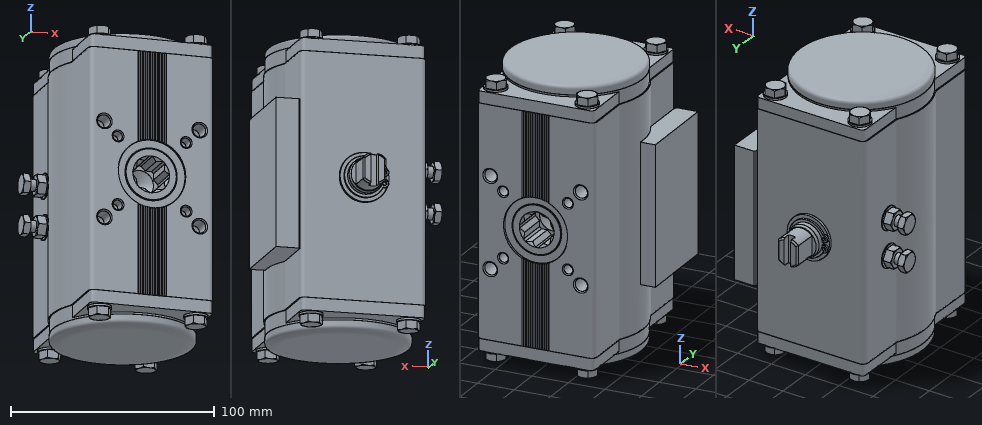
import cadquery as cq
import math


housing_length = 125.0
housing_width = 64.8
housing_depth = 91.6
housing_corner_radius = 2.9
barrel_radius = 36.8
barrel_blend_radius = 3.0
half_depth = housing_depth / 2

front_recess_diameter = 35.0
front_recess_depth = 1.4
rear_boss_diameter = 25.0
rear_boss_height = 1.5

groove_count = 12
groove_band_width = 14.8
groove_depth = 0.5

outer_hole_circle = 70.0
outer_hole_drill = 6.7
outer_hole_mouth = 8.0
outer_hole_depth = 10.6
inner_hole_circle = 50.0
inner_hole_drill = 4.8
inner_hole_mouth = 6.0
inner_hole_depth = 7.5
drill_point_angle = 118

shaft_top = 66.0
shaft_bottom = -half_depth + front_recess_depth
journal_diameter = 27.0
journal_length = 30.3
journal_chamfer = 0.5
collar_diameter = 18.0
collar_top = 53.0
collar_chamfer_height = 1.7
collar_chamfer_width = 0.6
tip_diameter = 16.0
tip_across_flats = 11.8
tip_chamfer = 0.9
tip_slot_width = 4.0
tip_slot_depth = 4.0
socket_across_flats = 14.4
socket_mouth_diameter = 19.0
socket_mouth_depth = 1.8
socket_depth = 18.2

ring_diameter = 21.0
ring_thickness = 1.2
ring_gap = 1.5
lug_diameter = 4.1
lug_hole_diameter = 2.0
lug_reach = 12.1

plate_thickness = 6.5
cap_width = 63.6
cap_depth = 92.0
cap_corner_radius = 2.3
cap_barrel_radius = 36.2
overall_length = 151.4
rim_radius = 36.3
rim_bottom = 7.5
rim_top = 10.3
shoulder_radius = 34.5
shoulder_height = 12.3
crown_radius = 29.8

hex_across_flats = 10.0
hex_across_corners = hex_across_flats / math.cos(math.radians(30))
hex_chamfer_angle = 30
screw_spacing_x = 50.0
screw_spacing_y = 78.0
screw_washer_diameter = 12.0
screw_washer_thickness = 1.0
screw_head_height = 4.4

stop_y = 24.5
stop_spacing = 21.2
stop_washer_diameter = 13.0
stop_washer_thickness = 0.5
stop_nut_height = 4.7
stop_stem_diameter = 6.0
stop_head_height = 3.8
stop_reach = 44.8

block_reach = 44.8
block_bottom = -2.9
block_length = 75.7
block_chamfer = 0.8


def y_cylinder(diameter, start, end):
    """Cylinder on the Y axis between two Y positions."""
    return cq.Workplane("XZ", origin=(0, start, 0)).circle(diameter / 2).extrude(start - end)


def y_turning(points):
    """Solid turned about the Y axis from (radius, y) points."""
    return cq.Workplane("XY").polyline(points).close().revolve(360, (0, 0), (0, 1))


def cone_height(diameter):
    """Height of the drill point at the bottom of a hole."""
    return diameter / 2 / math.tan(math.radians(drill_point_angle / 2))


def hex_prism(height, near_chamfered=False):
    """Hexagon on Z = 0, corners on X, its far face, and if asked its near face, chamfered to a round."""
    corner = hex_across_corners / 2
    flat = hex_across_flats / 2
    drop = (corner - flat) * math.tan(math.radians(hex_chamfer_angle))
    profile = [(0, height), (flat, height), (corner, height - drop)]
    if near_chamfered:
        profile += [(corner, drop), (flat, 0), (0, 0)]
    else:
        profile += [(corner, 0), (0, 0)]
    envelope = cq.Workplane("XZ").polyline(profile).close().revolve(360, (0, 0), (0, 1))
    return cq.Workplane("XY").polygon(6, hex_across_corners).extrude(height).intersect(envelope)


def housing_block():
    """Rounded rectangle merged with the barrel, blended where they meet."""
    box = (
        cq.Workplane("XY")
        .box(housing_width, housing_depth, housing_length)
        .edges("|Z")
        .fillet(housing_corner_radius)
    )
    barrel = cq.Workplane("XY").circle(barrel_radius).extrude(housing_length / 2, both=True)
    half_width = housing_width / 2
    meet_y = math.sqrt(barrel_radius**2 - half_width**2)
    body = box.union(barrel)
    for x in (-half_width, half_width):
        for y in (-meet_y, meet_y):
            body = body.edges(cq.NearestToPointSelector((x, y, 0))).fillet(barrel_blend_radius)
    return body


def groove_cutter():
    """Adjoining V-grooves along the whole mounting face."""
    pitch = groove_band_width / groove_count
    points = [(-groove_band_width / 2, -half_depth)]
    for i in range(groove_count):
        left = -groove_band_width / 2 + i * pitch
        points.append((left + pitch / 2, -half_depth + groove_depth))
        points.append((left + pitch, -half_depth))
    return cq.Workplane("XY").polyline(points).close().extrude(housing_length / 2, both=True)


def tapped_holes(circle, drill, mouth, depth):
    """Four countersunk blind holes with drill points, square about the shaft axis."""
    countersink = (mouth - drill) / 2
    floor = -half_depth + depth
    hole = y_turning(
        [
            (0, -half_depth),
            (mouth / 2, -half_depth),
            (drill / 2, -half_depth + countersink),
            (drill / 2, floor),
            (0, floor + cone_height(drill)),
        ]
    )
    offset = circle / 2 / math.sqrt(2)
    cutter = cq.Workplane("XY")
    for x in (-offset, offset):
        for z in (-offset, offset):
            cutter = cutter.add(hole.translate((x, 0, z)))
    return cutter.combine()


def make_housing(blank):
    body = blank.cut(groove_cutter())
    body = body.cut(y_cylinder(front_recess_diameter, -half_depth, -half_depth + front_recess_depth))
    body = body.union(y_cylinder(rear_boss_diameter, half_depth, half_depth + rear_boss_height))
    body = body.cut(tapped_holes(outer_hole_circle, outer_hole_drill, outer_hole_mouth, outer_hole_depth))
    body = body.cut(tapped_holes(inner_hole_circle, inner_hole_drill, inner_hole_mouth, inner_hole_depth))
    body = body.cut(y_cylinder(journal_diameter, shaft_bottom, shaft_bottom + journal_length))
    return body.cut(y_cylinder(collar_diameter, shaft_bottom, shaft_top))


def socket_cutter():
    """Eight-point star socket with trimmed points, a countersunk mouth and a drill-point floor."""
    floor = shaft_bottom + socket_depth
    plane = cq.Workplane("XZ", origin=(0, shaft_bottom, 0))
    square = plane.rect(socket_across_flats, socket_across_flats).extrude(-socket_depth)
    star = square.union(square.rotate((0, 0, 0), (0, 1, 0), 45))
    star = star.intersect(y_cylinder(socket_mouth_diameter, shaft_bottom, floor))
    mouth = y_turning(
        [
            (0, shaft_bottom),
            (socket_mouth_diameter / 2, shaft_bottom),
            (socket_across_flats / 2, shaft_bottom + socket_mouth_depth),
            (0, shaft_bottom + socket_mouth_depth),
        ]
    )
    point = y_turning(
        [(0, floor), (socket_across_flats / 2, floor), (0, floor + cone_height(socket_across_flats))]
    )
    return star.union(mouth).union(point)


def make_shaft():
    journal_end = shaft_bottom + journal_length
    collar_radius = collar_diameter / 2
    body = y_turning(
        [
            (0, shaft_bottom),
            (journal_diameter / 2 - journal_chamfer, shaft_bottom),
            (journal_diameter / 2, shaft_bottom + journal_chamfer),
            (journal_diameter / 2, journal_end),
            (collar_radius, journal_end),
            (collar_radius, collar_top - collar_chamfer_height),
            (collar_radius - collar_chamfer_width, collar_top),
            (0, collar_top),
        ]
    )
    tip_length = shaft_top - collar_top
    tip_middle = collar_top + tip_length / 2
    tip = y_cylinder(tip_diameter, collar_top, shaft_top)
    flats = cq.Workplane("XY").box(tip_across_flats, tip_length, tip_diameter)
    tip = tip.intersect(flats.translate((0, tip_middle, 0))).faces(">Y").chamfer(tip_chamfer)
    slot = cq.Workplane("XY").box(tip_slot_width, 2 * tip_slot_depth, tip_diameter)
    tip = tip.cut(slot.translate((0, shaft_top, 0)))
    return body.union(tip).cut(socket_cutter())


def make_retaining_ring():
    """Open ring on the shaft collar with two pierced lugs at its gap on the -X side."""
    base = half_depth + rear_boss_height
    top = base + ring_thickness
    lug_x = -lug_reach + lug_diameter / 2
    lug_z = ring_gap / 2 + lug_diameter / 2
    ring = y_cylinder(ring_diameter, base, top)
    for z in (-lug_z, lug_z):
        ring = ring.union(y_cylinder(lug_diameter, base, top).translate((lug_x, 0, z)))
    for z in (-lug_z, lug_z):
        ring = ring.cut(y_cylinder(lug_hole_diameter, base, top).translate((lug_x, 0, z)))
    gap = cq.Workplane("XY").box(lug_reach, ring_thickness, ring_gap)
    ring = ring.cut(gap.translate((-lug_reach / 2, base + ring_thickness / 2, 0)))
    return ring.cut(y_cylinder(collar_diameter, base, top))


def make_cap():
    """Top cap with its four screws; its joint face lies on the end of the housing."""
    cap_height = (overall_length - housing_length) / 2
    plate = (
        cq.Workplane("XY")
        .rect(cap_width, cap_depth)
        .extrude(plate_thickness)
        .edges("|Z")
        .fillet(cap_corner_radius)
    )
    bend = (rim_radius - shoulder_radius) * math.sqrt(0.5)
    rise = (shoulder_height - rim_top) * math.sqrt(0.5)
    crown_width = shoulder_radius - crown_radius
    crown_drop = cap_height - shoulder_height
    crown_arc_radius = (crown_width**2 + crown_drop**2) / (2 * crown_drop)
    crown_half_angle = math.asin(crown_width / crown_arc_radius) / 2
    crown_middle = (
        crown_radius + crown_arc_radius * math.sin(crown_half_angle),
        cap_height - crown_arc_radius * (1 - math.cos(crown_half_angle)),
    )
    dome = (
        cq.Workplane("XZ")
        .lineTo(cap_barrel_radius, 0)
        .lineTo(cap_barrel_radius, rim_bottom)
        .lineTo(rim_radius, rim_bottom)
        .lineTo(rim_radius, rim_top)
        .threePointArc((shoulder_radius + bend, rim_top + rise), (shoulder_radius, shoulder_height))
        .threePointArc(crown_middle, (crown_radius, cap_height))
        .lineTo(0, cap_height)
        .close()
        .revolve(360, (0, 0), (0, 1))
    )
    cap = plate.union(dome)
    washer = cq.Workplane("XY").circle(screw_washer_diameter / 2).extrude(screw_washer_thickness)
    screw = washer.union(hex_prism(screw_head_height).translate((0, 0, screw_washer_thickness)))
    for x in (-screw_spacing_x / 2, screw_spacing_x / 2):
        for y in (-screw_spacing_y / 2, screw_spacing_y / 2):
            cap = cap.union(screw.translate((x, y, plate_thickness)))
    return cap.translate((0, 0, housing_length / 2))


def make_stop_screw():
    """Washer, lock nut, stem and hexagon head standing on Z = 0."""
    length = stop_reach - housing_width / 2
    screw = cq.Workplane("XY").circle(stop_washer_diameter / 2).extrude(stop_washer_thickness)
    screw = screw.union(hex_prism(stop_nut_height).translate((0, 0, stop_washer_thickness)))
    head_start = length - stop_head_height
    screw = screw.union(cq.Workplane("XY").circle(stop_stem_diameter / 2).extrude(head_start))
    head = hex_prism(stop_head_height, near_chamfered=True)
    screw = screw.union(head.translate((0, 0, head_start)))
    return screw.rotate((0, 0, 0), (0, 0, 1), 90).rotate((0, 0, 0), (0, 1, 0), -90)


def make_side_block(blank):
    """Block on the +X side, fitted round the outside of the housing."""
    inner_x = housing_width / 2
    block = cq.Workplane("XY").box(
        block_reach - inner_x, half_depth - block_bottom, block_length, centered=(False, False, True)
    )
    block = block.edges("|Z and <X and >Y").chamfer(block_chamfer)
    return block.translate((inner_x, block_bottom, 0)).cut(blank)


blank = housing_block()
housing = make_housing(blank)
shaft = make_shaft()
retaining_ring = make_retaining_ring()
side_block = make_side_block(blank)

top_cap = make_cap()
caps = [top_cap, top_cap.mirror("XY")]

stop_screw = make_stop_screw()
stop_screws = []
for stop_z in (-stop_spacing / 2, stop_spacing / 2):
    placed_screw = stop_screw.translate((-housing_width / 2, stop_y, stop_z))
    stop_screws.append(placed_screw.cut(blank))

bodies = [housing, shaft, retaining_ring, side_block, *caps, *stop_screws]
result = cq.Compound.makeCompound([body.solids().val() for body in bodies])